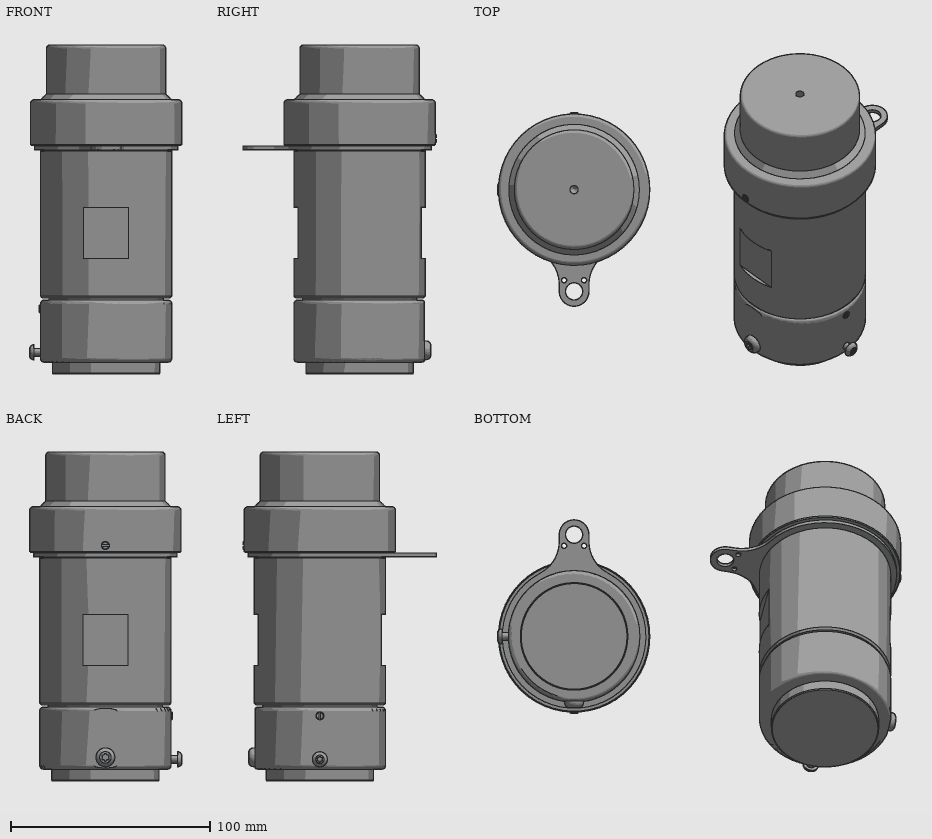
import cadquery as cq
import math

FOOT_R = 54 / 2
BODY_R = 66 / 2
GROOVE_R = 57.5 / 2
COLLAR_R = 76 / 2
NECK_R = 62 / 2
CAP_R = 60 / 2
CONE_R = 32.75

FOOT_TOP = 6.0
RING_TOP = 37.2
BODY_BOTTOM = 38.2
BODY_TOP = 111.9
COLLAR_BOTTOM = 114.8
COLLAR_TOP = 137.7
CONE_TOP = COLLAR_TOP + CONE_R - CAP_R
CAP_TOP = 165.16

EDGE_FILLET = 2.0
EDGE_CHAMFER = 0.5
BODY_CHAMFER = 1.0

CAP_HOLE_R = 4.13 / 2
CAP_HOLE_DEPTH = 8.0
DRILL_POINT_ANGLE = 118

FLAT_OFFSET = 31.0
FLAT_BOTTOM = 58.1
FLAT_TOP = 83.7

SEAT_OFFSET = 32.5

LUG_THICKNESS = 2.0
LUG_TOP_GAP = 0.3
LUG_BOTTOM = COLLAR_BOTTOM - LUG_TOP_GAP - LUG_THICKNESS
LUG_DISC_R = 72 / 2
LUG_TIP_Y = -58.5
LUG_END_R = 7.5
LUG_EYE_Y = LUG_TIP_Y + LUG_END_R
LUG_EYE_D = 8.5
LUG_FLARE_R = 18.0
WIRE_HOLE_D = 2.5
WIRE_HOLE_X = 5.0
WIRE_HOLE_Y = -45.4

SMALL_SCREW = {
    "head_d": 7.6,
    "head_height": 2.2,
    "rim_height": 0.44,
    "top_d": 4.2,
    "shank_d": 4.0,
    "socket_d": 3.0,
}
LARGE_SCREW = {
    "head_d": 9.5,
    "head_height": 3.25,
    "rim_height": 0.7,
    "top_d": 5.8,
    "shank_d": 5.0,
    "socket_d": 4.0,
}
SMALL_SCREW_Z = 11.0
SMALL_SCREW_TIP = 38.35
LARGE_SCREW_Z = 12.0
LARGE_SCREW_TIP = SEAT_OFFSET + LARGE_SCREW["head_height"]
SOCKET_DEPTH_SHARE = 0.55
DOME_BULGE_SHARE = 0.12
LOBE_SHARE = 1 / 8
LOBE_COUNT = 6

SET_SCREW_D = 4.0
SET_SCREW_CHAMFER = 0.3
SET_SLOT_WIDTH = 0.8
SET_SLOT_DEPTH = 0.5
SET_SCREW_PROUD = 0.58
RING_SET_SCREW_Z = 32.8
COLLAR_SET_SCREW_Z = 118.2

EMBED = 4.0


def cylinder(radius, bottom, top):
    return cq.Workplane("XY").workplane(offset=bottom).circle(radius).extrude(top - bottom)


def make_housing():
    foot = cylinder(FOOT_R, 0, FOOT_TOP).faces("<Z").edges().chamfer(EDGE_CHAMFER)
    ring = cylinder(BODY_R, FOOT_TOP, RING_TOP).edges().fillet(EDGE_FILLET)
    ring = cut_seat(ring)
    groove = cylinder(GROOVE_R, RING_TOP, BODY_BOTTOM)
    body = cylinder(BODY_R, BODY_BOTTOM, BODY_TOP).faces("<Z").edges().chamfer(BODY_CHAMFER)
    neck = cylinder(NECK_R, BODY_TOP, COLLAR_BOTTOM)
    collar = cylinder(COLLAR_R, COLLAR_BOTTOM, COLLAR_TOP)
    collar = collar.faces(">Z").edges().fillet(EDGE_FILLET)
    collar = collar.faces("<Z").edges().chamfer(EDGE_CHAMFER)
    cone_base = cq.Vector(0, 0, COLLAR_TOP)
    cone = cq.Workplane(obj=cq.Solid.makeCone(CONE_R, CAP_R, CONE_TOP - COLLAR_TOP, pnt=cone_base))
    cap = cylinder(CAP_R, CONE_TOP, CAP_TOP).faces(">Z").edges().fillet(EDGE_FILLET)
    housing = foot
    for section in (ring, groove, cut_flats(body), neck, collar, cone, cap):
        housing = housing.union(section)
    return housing


def cut_flats(body):
    size = 2 * BODY_R
    for side in (-1, 1):
        cutter = cq.Workplane("XY").box(size, size, FLAT_TOP - FLAT_BOTTOM)
        center_y = side * (FLAT_OFFSET + size / 2)
        body = body.cut(cutter.translate((0, center_y, (FLAT_TOP + FLAT_BOTTOM) / 2)))
    return body


def cut_seat(ring):
    size = 2 * BODY_R
    cutter = cq.Workplane("XY").box(size, size, size)
    return ring.cut(cutter.translate((0, SEAT_OFFSET + size / 2, size / 2)))


def make_cap_hole():
    point_depth = CAP_HOLE_R / math.tan(math.radians(DRILL_POINT_ANGLE / 2))
    floor = CAP_TOP - CAP_HOLE_DEPTH
    profile = [(0, CAP_TOP), (CAP_HOLE_R, CAP_TOP), (CAP_HOLE_R, floor), (0, floor - point_depth)]
    return cq.Workplane("XZ").polyline(profile).close().revolve(360, (0, 0), (0, 1))


def make_lug():
    flare_x = LUG_END_R + LUG_FLARE_R
    center_distance = LUG_DISC_R + LUG_FLARE_R
    flare_y = -math.sqrt(center_distance**2 - flare_x**2)
    disc_share = LUG_DISC_R / center_distance
    root_x = flare_x * disc_share
    root_y = flare_y * disc_share
    mid_angle = (math.pi + math.atan2(-flare_y, -flare_x)) / 2
    mid_x = flare_x + LUG_FLARE_R * math.cos(mid_angle)
    mid_y = flare_y + LUG_FLARE_R * math.sin(mid_angle)

    plane = cq.Workplane("XY").workplane(offset=LUG_BOTTOM)
    tongue = (
        plane.moveTo(0, 0)
        .lineTo(root_x, root_y)
        .threePointArc((mid_x, mid_y), (LUG_END_R, flare_y))
        .lineTo(LUG_END_R, LUG_EYE_Y)
        .threePointArc((0, LUG_TIP_Y), (-LUG_END_R, LUG_EYE_Y))
        .lineTo(-LUG_END_R, flare_y)
        .threePointArc((-mid_x, mid_y), (-root_x, root_y))
        .close()
        .extrude(LUG_THICKNESS)
    )
    eye = plane.center(0, LUG_EYE_Y).circle(LUG_EYE_D / 2).extrude(LUG_THICKNESS)
    wire_spots = [(-WIRE_HOLE_X, WIRE_HOLE_Y), (WIRE_HOLE_X, WIRE_HOLE_Y)]
    wire_holes = plane.pushPoints(wire_spots).circle(WIRE_HOLE_D / 2).extrude(LUG_THICKNESS)
    return cylinder(LUG_DISC_R, LUG_BOTTOM, LUG_BOTTOM + LUG_THICKNESS).union(tongue).cut(eye).cut(wire_holes)


def make_screw(tip, head_d, head_height, rim_height, top_d, shank_d, socket_d):
    """Button-head screw along +X with the top of its head at X = tip."""
    under_head = tip - head_height
    shank_start = BODY_R - EMBED
    rim_top = under_head + rim_height
    bulge = head_height * DOME_BULGE_SHARE
    dome_middle = ((rim_top + tip) / 2 + bulge, (head_d + top_d) / 4 + bulge)
    head = (
        cq.Workplane("XY")
        .moveTo(under_head, 0)
        .lineTo(under_head, head_d / 2)
        .lineTo(rim_top, head_d / 2)
        .threePointArc(dome_middle, (tip, top_d / 2))
        .lineTo(tip, 0)
        .close()
        .revolve(360, (0, 0), (1, 0))
    )
    shank = cq.Workplane("YZ").workplane(offset=shank_start).circle(shank_d / 2)
    shank = shank.extrude(under_head - shank_start)

    lobe_r = socket_d * LOBE_SHARE
    lobe_circle_r = socket_d / 2 - lobe_r
    socket_depth = head_height * SOCKET_DEPTH_SHARE
    base = cq.Workplane("YZ").workplane(offset=tip - socket_depth)
    core = base.circle(lobe_circle_r).extrude(socket_depth)
    lobes = base.polarArray(lobe_circle_r, 90, 360, LOBE_COUNT).circle(lobe_r).extrude(socket_depth)
    return head.cut(core.union(lobes)).union(shank)


def make_set_screw(surface_r, slot_angle):
    """Slotted set screw along +X standing slightly proud of a round surface."""
    start = surface_r - EMBED
    tip = surface_r + SET_SCREW_PROUD
    screw = cq.Workplane("YZ").workplane(offset=start).circle(SET_SCREW_D / 2).extrude(tip - start)
    screw = screw.faces(">X").edges().chamfer(SET_SCREW_CHAMFER)
    slot = cq.Workplane("XY").box(2 * SET_SLOT_DEPTH, SET_SLOT_WIDTH, 2 * SET_SCREW_D)
    slot = slot.translate((tip, 0, 0)).rotate((0, 0, 0), (1, 0, 0), slot_angle)
    return screw.cut(slot)


def place(piece, direction, height):
    """Turn a piece from +X to the given direction about Z and lift it."""
    return piece.rotate((0, 0, 0), (0, 0, 1), direction).translate((0, 0, height))


result = make_housing().cut(make_cap_hole()).union(make_lug())
result = result.union(place(make_screw(SMALL_SCREW_TIP, **SMALL_SCREW), 180, SMALL_SCREW_Z))
result = result.union(place(make_screw(LARGE_SCREW_TIP, **LARGE_SCREW), 90, LARGE_SCREW_Z))
result = result.union(place(make_set_screw(BODY_R, 0), 180, RING_SET_SCREW_Z))
result = result.union(place(make_set_screw(COLLAR_R, 90), 90, COLLAR_SET_SCREW_Z))